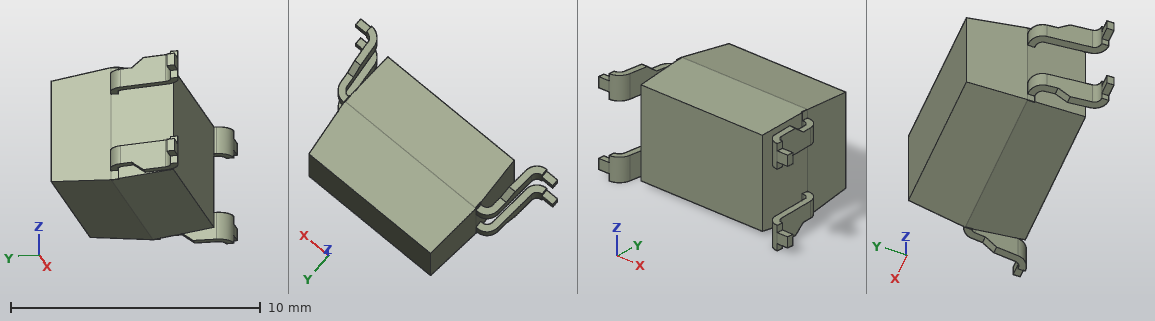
import cadquery as cq
import math

overall_length = 10.29
overall_height = 4.83
half_depth = 2.54
parting_length = 6.85
rear_length = 6.36
front_length = 6.61
end_height = 4.32

lead_thickness = 0.31
lead_width = 1.15
lead_front = 3.05
lead_lean = math.radians(5)
inner_bend = 0.31
outer_bend = inner_bend + lead_thickness
lead_embed = 0.03

notch_depth = 0.38
shoulder_start = 1.03
shoulder_end = 1.53

foot_length = 0.57
foot_width = 0.5

lead_top = overall_height / 2
lead_bottom = lead_top - lead_width
body_edge = parting_length / 2
foot_start = overall_length / 2 - foot_length


def tapered_half(end_length, end_y):
    """Half of the body, tapering from the parting plane to an end face."""
    return (
        cq.Workplane("XZ")
        .rect(parting_length, overall_height)
        .workplane(offset=-end_y)
        .rect(end_length, end_height)
        .loft(ruled=True)
    )


def bent_strip():
    """Full-width S-bent strip on the +X, +Z side of the body."""
    normal_x = math.cos(lead_lean)
    normal_y = math.sin(lead_lean)
    upper_y = -outer_bend
    lower_x = foot_start
    lower_y = -lead_front + outer_bend
    bend_drop = upper_y - lower_y
    bend_spacing = (inner_bend + outer_bend + bend_drop * normal_y) / normal_x
    upper_x = lower_x - bend_spacing

    def upper(radius, angle):
        return (upper_x + radius * math.cos(angle), upper_y + radius * math.sin(angle))

    def lower(radius, angle):
        return (lower_x - radius * math.cos(angle), lower_y - radius * math.sin(angle))

    bend_top = math.pi / 2
    bend_middle = (bend_top + lead_lean) / 2
    root_x = body_edge - lead_embed
    return (
        cq.Workplane("XY", origin=(0, 0, lead_bottom))
        .moveTo(root_x, 0)
        .lineTo(*upper(outer_bend, bend_top))
        .threePointArc(upper(outer_bend, bend_middle), upper(outer_bend, lead_lean))
        .lineTo(*lower(inner_bend, lead_lean))
        .threePointArc(lower(inner_bend, bend_middle), lower(inner_bend, bend_top))
        .lineTo(*lower(outer_bend, bend_top))
        .threePointArc(lower(outer_bend, bend_middle), lower(outer_bend, lead_lean))
        .lineTo(*upper(inner_bend, lead_lean))
        .threePointArc(upper(inner_bend, bend_middle), upper(inner_bend, bend_top))
        .lineTo(root_x, -lead_thickness)
        .close()
        .extrude(lead_width)
    )


def shoulder_notch():
    """Material removed from the outer edge of the strip outside the body."""
    notch_floor = lead_top - notch_depth
    return (
        cq.Workplane("YZ", origin=(body_edge, 0, 0))
        .moveTo(0, notch_floor)
        .lineTo(-shoulder_start, notch_floor)
        .lineTo(-shoulder_end, lead_top)
        .lineTo(0, lead_top)
        .close()
        .extrude(overall_length / 2 - body_edge)
    )


def foot():
    """Narrow block running straight out from the middle of the strip."""
    return cq.Workplane("XY").box(
        foot_length, lead_thickness, foot_width, centered=(False, False, True)
    ).translate((foot_start, -lead_front, lead_top - lead_width / 2))


body = tapered_half(rear_length, half_depth).union(tapered_half(front_length, -half_depth))
lead = bent_strip().cut(shoulder_notch()).union(foot())
upper_leads = lead.union(lead.mirror("YZ"))
result = body.union(upper_leads).union(upper_leads.mirror("XY"))